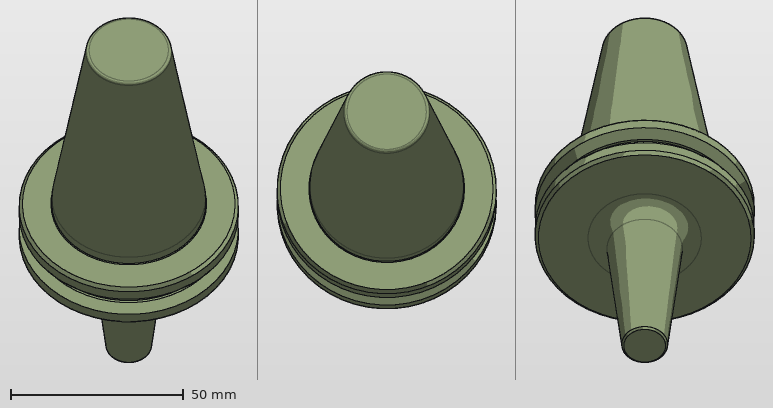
import cadquery as cq
import math

TOTAL_HEIGHT = 137.5
FLANGE_BOTTOM = 50.0
FLANGE_TOP = 66.0
GAUGE_LINE = 69.2

GAUGE_RADIUS = 22.3
TAPER_RATIO = 7 / 24
TAPER_TIP_ROUND = 1.0
COLLAR_ROOT_BEVEL = 0.3

FLANGE_RADIUS = 31.8
FLANGE_CHAMFER = 1.0
GROOVE_CENTER = 58.0
GROOVE_MOUTH_WIDTH = 7.0
GROOVE_FLOOR_WIDTH = 3.6
GROOVE_FLOOR_RADIUS = 28.0
GROOVE_FLANK_ANGLE = 30.0

NOSE_TIP_RADIUS = 6.6
NOSE_HALF_ANGLE = 5.5
NOSE_TIP_CHAMFER = 0.5
NOSE_ROOT_RADIUS = 5.5


def revolve_profile(profile):
    """Revolve a closed radius-height profile about the Z axis."""
    return profile.close().revolve(360, (0, 0, 0), (0, 1, 0))


def make_drive_taper():
    """Steep taper with a straight collar, bevelled outward where it meets the flange."""
    tip_radius = GAUGE_RADIUS - (TOTAL_HEIGHT - GAUGE_LINE) * TAPER_RATIO / 2
    profile = (
        cq.Workplane("XZ")
        .moveTo(0, FLANGE_TOP)
        .lineTo(GAUGE_RADIUS + COLLAR_ROOT_BEVEL, FLANGE_TOP)
        .lineTo(GAUGE_RADIUS, FLANGE_TOP + COLLAR_ROOT_BEVEL)
        .lineTo(GAUGE_RADIUS, GAUGE_LINE)
        .lineTo(tip_radius, TOTAL_HEIGHT)
        .lineTo(0, TOTAL_HEIGHT)
    )
    return revolve_profile(profile).faces(">Z").edges().fillet(TAPER_TIP_ROUND)


def make_flange():
    """Chamfered disc with a flared gripper groove around its rim."""
    disc = (
        cq.Workplane("XY", origin=(0, 0, FLANGE_BOTTOM))
        .circle(FLANGE_RADIUS)
        .extrude(FLANGE_TOP - FLANGE_BOTTOM)
        .edges()
        .chamfer(FLANGE_CHAMFER)
    )
    mouth = GROOVE_MOUTH_WIDTH / 2
    floor = GROOVE_FLOOR_WIDTH / 2
    flank_depth = (mouth - floor) / math.tan(math.radians(GROOVE_FLANK_ANGLE))
    flank_radius = FLANGE_RADIUS - flank_depth
    groove = (
        cq.Workplane("XZ")
        .moveTo(FLANGE_RADIUS, GROOVE_CENTER - mouth)
        .lineTo(flank_radius, GROOVE_CENTER - floor)
        .lineTo(GROOVE_FLOOR_RADIUS, GROOVE_CENTER - floor)
        .lineTo(GROOVE_FLOOR_RADIUS, GROOVE_CENTER + floor)
        .lineTo(flank_radius, GROOVE_CENTER + floor)
        .lineTo(FLANGE_RADIUS, GROOVE_CENTER + mouth)
    )
    return disc.cut(revolve_profile(groove))


def make_nose():
    """Slim cone that blends tangentially into the underside of the flange."""
    angle = math.radians(NOSE_HALF_ANGLE)
    arc_center_z = FLANGE_BOTTOM - NOSE_ROOT_RADIUS
    root_z = arc_center_z + NOSE_ROOT_RADIUS * math.sin(angle)
    root_radius = NOSE_TIP_RADIUS + root_z * math.tan(angle)
    arc_center_r = root_radius + NOSE_ROOT_RADIUS * math.cos(angle)
    middle_angle = (math.pi / 2 + math.pi - angle) / 2
    arc_middle = (
        arc_center_r + NOSE_ROOT_RADIUS * math.cos(middle_angle),
        arc_center_z + NOSE_ROOT_RADIUS * math.sin(middle_angle),
    )
    profile = (
        cq.Workplane("XZ")
        .lineTo(NOSE_TIP_RADIUS, 0)
        .lineTo(root_radius, root_z)
        .threePointArc(arc_middle, (arc_center_r, FLANGE_BOTTOM))
        .lineTo(0, FLANGE_BOTTOM)
    )
    return revolve_profile(profile).faces("<Z").edges().chamfer(NOSE_TIP_CHAMFER)


result = make_flange().union(make_drive_taper()).union(make_nose())